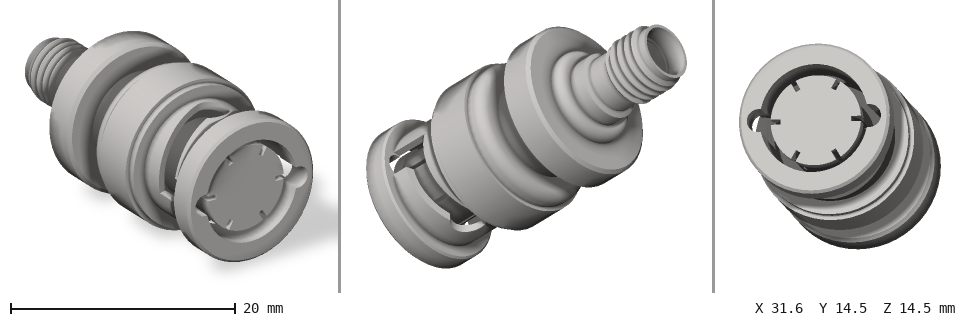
import cadquery as cq
import math

LENGTH = 31.6
RIM_DIAMETER = 14.5

NECK_RADIUS = 2.62
SOCKET_RADIUS = 2.35
SOCKET_DEPTH = 1.93
SOCKET_FLOOR_RADIUS = 2.05
SOCKET_FLOOR_RECESS = 0.13

COLLAR_START = 7.08
COLLAR_RADIUS = 3.15
COLLAR_CHAMFER_LENGTH = 0.25

FLANGE_START = 8.9
FLANGE_RADIUS = 4.4
FLANGE_FILLET = 0.75

DISC_START = 10.15
DISC_END = 13.55
DISC_RADIUS = RIM_DIAMETER / 2
DISC_CHAMFER = 0.32

BARREL_RADIUS = 4.68

TUBE_RADIUS = 3.82
TIP_START = 29.55
TIP_RADIUS = 4.1
TUBE_END = 30.7
FINGER_START = 25.85
FINGER_RADIUS = 3.85
FINGER_THICKNESS = 0.65
FINGER_COUNT = 6
FINGER_GAP = 0.47

THREAD_START = 0.7
THREAD_END = 5.0
THREAD_RADIUS = 3.1
THREAD_PITCH = 0.907
THREAD_ROOT_WIDTH = 0.65
THREAD_CREST_WIDTH = 0.1
THREAD_SINK = 0.1
TRIM_CLEARANCE = 0.32
CREST_AT_PLUS_Y = 1.2

SLEEVE_START = 16.62
SHOULDER_RADIUS = 6.85
SHOULDER_FILLET = 0.95
GRIP_START = 18.33
GRIP_END = 22.37
SHOULDER_END = 23.05
SLEEVE_RADIUS = 5.65
SLEEVE_BORE_RADIUS = 4.93

RING_START = 29.17
RING_RADIUS = SHOULDER_RADIUS
RING_REAR_CHAMFER = 0.2
RING_FRONT_CHAMFER = 0.25

DETENT_X = 25.37
DETENT_RADIUS = 1.6
RAMP_ANGLE = 15.5
RAMP_WIDTH = 2.28
ENTRY_WIDTH = 2.37
LUG_CHANNEL_RADIUS = 1.05
LUG_CHANNEL_OFFSET = 5.05
CUT_CLEARANCE = 0.32


def turned(outline):
    """Solid of revolution about X from a closed outline of (x, radius)."""
    return outline.close().revolve(360, (0, 0, 0), (1, 0, 0))


def cylinder_along_x(start, end, radius):
    return cq.Workplane("YZ", origin=(start, 0, 0)).circle(radius).extrude(end - start)


def body_blank():
    outline = (
        cq.Workplane("XY")
        .moveTo(0, 0)
        .lineTo(0, NECK_RADIUS)
        .lineTo(COLLAR_START, NECK_RADIUS)
        .lineTo(COLLAR_START + COLLAR_CHAMFER_LENGTH, COLLAR_RADIUS)
        .lineTo(FLANGE_START, COLLAR_RADIUS)
        .lineTo(FLANGE_START, FLANGE_RADIUS - FLANGE_FILLET)
        .radiusArc((FLANGE_START + FLANGE_FILLET, FLANGE_RADIUS), FLANGE_FILLET)
        .lineTo(DISC_START, FLANGE_RADIUS)
        .lineTo(DISC_START, DISC_RADIUS - DISC_CHAMFER)
        .lineTo(DISC_START + DISC_CHAMFER, DISC_RADIUS)
        .lineTo(DISC_END - DISC_CHAMFER, DISC_RADIUS)
        .lineTo(DISC_END, DISC_RADIUS - DISC_CHAMFER)
        .lineTo(DISC_END, BARREL_RADIUS)
        .lineTo(SHOULDER_END, BARREL_RADIUS)
        .lineTo(SHOULDER_END, TUBE_RADIUS)
        .lineTo(FINGER_START, TUBE_RADIUS)
        .lineTo(TIP_START, FINGER_RADIUS)
        .lineTo(TIP_START, TIP_RADIUS)
        .lineTo(TUBE_END, TIP_RADIUS)
        .lineTo(TUBE_END, 0)
    )
    return turned(outline)


def thread_ridge():
    """Helical ridge, its ends trimmed by 45-degree cones down to the neck."""
    height = THREAD_RADIUS - NECK_RADIUS
    flank_slope = (THREAD_ROOT_WIDTH - THREAD_CREST_WIDTH) / 2 / height
    half_crest = THREAD_CREST_WIDTH / 2
    half_root = THREAD_ROOT_WIDTH / 2 + THREAD_SINK * flank_slope
    inner_radius = NECK_RADIUS - THREAD_SINK
    helix_start = CREST_AT_PLUS_Y - THREAD_PITCH
    turns = math.ceil((THREAD_END - helix_start) / THREAD_PITCH) + 1
    path = cq.Wire.makeHelix(THREAD_PITCH, turns * THREAD_PITCH, NECK_RADIUS)
    ridge = (
        cq.Workplane("XZ")
        .polyline([
            (inner_radius, -half_root),
            (THREAD_RADIUS, -half_crest),
            (THREAD_RADIUS, half_crest),
            (inner_radius, half_root),
        ])
        .close()
        .sweep(cq.Workplane(path), isFrenet=True)
    )
    ridge = ridge.rotate((0, 0, 0), (1, 1, 1), 120).translate((helix_start, 0, 0))
    trim_height = height + TRIM_CLEARANCE
    envelope = turned(
        cq.Workplane("XY")
        .moveTo(THREAD_START, 0)
        .lineTo(THREAD_START, NECK_RADIUS)
        .lineTo(THREAD_START + trim_height, NECK_RADIUS + trim_height)
        .lineTo(THREAD_END - trim_height, NECK_RADIUS + trim_height)
        .lineTo(THREAD_END, NECK_RADIUS)
        .lineTo(THREAD_END, 0)
    )
    return ridge.intersect(envelope)


def finger_gaps():
    """Radial grooves that divide the surface of the tube end into equal fingers."""
    groove = (
        cq.Workplane("XY")
        .box(TUBE_END - FINGER_START, TIP_RADIUS, FINGER_GAP, centered=(False, False, True))
        .translate((FINGER_START, FINGER_RADIUS - FINGER_THICKNESS, 0))
    )
    return [groove.rotate((0, 0, 0), (1, 0, 0), i * 360 / FINGER_COUNT) for i in range(FINGER_COUNT)]


def make_body():
    body = body_blank()
    body = body.cut(cylinder_along_x(0, SOCKET_DEPTH, SOCKET_RADIUS))
    body = body.cut(cylinder_along_x(0, SOCKET_DEPTH + SOCKET_FLOOR_RECESS, SOCKET_FLOOR_RADIUS))
    body = body.union(thread_ridge())
    for gap in finger_gaps():
        body = body.cut(gap)
    return body


def sleeve_blank():
    outline = (
        cq.Workplane("XY")
        .moveTo(SLEEVE_START, BARREL_RADIUS)
        .lineTo(SLEEVE_START, SHOULDER_RADIUS - SHOULDER_FILLET)
        .radiusArc((SLEEVE_START + SHOULDER_FILLET, SHOULDER_RADIUS), SHOULDER_FILLET)
        .lineTo(GRIP_START, SHOULDER_RADIUS)
        .lineTo(GRIP_START, DISC_RADIUS)
        .lineTo(GRIP_END, DISC_RADIUS)
        .lineTo(GRIP_END, SHOULDER_RADIUS)
        .lineTo(SHOULDER_END, SHOULDER_RADIUS)
        .lineTo(SHOULDER_END, SLEEVE_RADIUS)
        .lineTo(RING_START, SLEEVE_RADIUS)
        .lineTo(RING_START, RING_RADIUS - RING_REAR_CHAMFER)
        .lineTo(RING_START + RING_REAR_CHAMFER, RING_RADIUS)
        .lineTo(LENGTH - RING_FRONT_CHAMFER, RING_RADIUS)
        .lineTo(LENGTH, RING_RADIUS - RING_FRONT_CHAMFER)
        .lineTo(LENGTH, SLEEVE_BORE_RADIUS)
        .lineTo(SHOULDER_END, SLEEVE_BORE_RADIUS)
        .lineTo(SHOULDER_END, BARREL_RADIUS)
    )
    return turned(outline)


def bayonet_slot():
    """Round detent on top, a ramp down to the -Y side, and an entry open at the +X end."""
    bottom = -ENTRY_WIDTH / 2
    reach = SLEEVE_RADIUS + CUT_CLEARANCE
    height = reach - bottom
    angle = math.radians(RAMP_ANGLE)
    slope = math.tan(angle)
    ramp_width_x = RAMP_WIDTH / math.cos(angle)
    tangent_x = DETENT_X - DETENT_RADIUS * math.cos(angle)
    tangent_y = -DETENT_RADIUS * math.sin(angle)
    end_x = tangent_x + slope * (reach + tangent_y)

    level = cq.Workplane("XY", origin=(0, 0, bottom))
    detent = level.center(DETENT_X, 0).circle(DETENT_RADIUS).extrude(height)
    ramp = (
        level.moveTo(tangent_x, tangent_y)
        .lineTo(end_x, -reach)
        .lineTo(end_x + ramp_width_x, -reach)
        .lineTo(tangent_x + ramp_width_x, tangent_y)
        .close()
        .extrude(height)
    )
    entry_start = end_x + ramp_width_x / 2
    entry = (
        cq.Workplane("XY")
        .box(RING_START - entry_start, reach, ENTRY_WIDTH, centered=(False, False, True))
        .translate((entry_start, -reach, 0))
    )
    lug_channel = (
        cq.Workplane("YZ", origin=(RING_START, 0, 0))
        .moveTo(0, -LUG_CHANNEL_RADIUS)
        .lineTo(-LUG_CHANNEL_OFFSET, -LUG_CHANNEL_RADIUS)
        .threePointArc(
            (-LUG_CHANNEL_OFFSET - LUG_CHANNEL_RADIUS, 0),
            (-LUG_CHANNEL_OFFSET, LUG_CHANNEL_RADIUS),
        )
        .lineTo(0, LUG_CHANNEL_RADIUS)
        .close()
        .extrude(LENGTH - RING_START)
    )
    return detent.union(ramp).union(entry).union(lug_channel)


def make_sleeve():
    sleeve = sleeve_blank()
    slot = bayonet_slot()
    for angle in (0, 180):
        sleeve = sleeve.cut(slot.rotate((0, 0, 0), (1, 0, 0), angle))
    return sleeve


body = make_body()
sleeve = make_sleeve()

result = cq.Compound.makeCompound([body.val(), sleeve.val()])